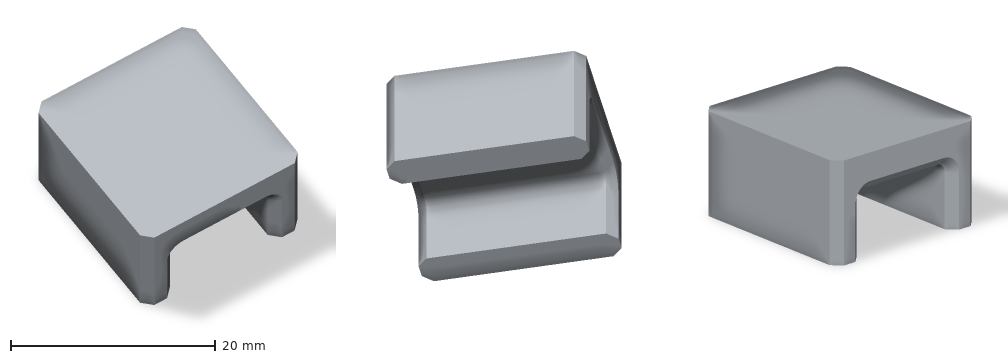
import cadquery as cq

length = 20.0
width = 18.5
height = 11.0
corner_chamfer = 1.0

leg_thickness = 3.5
roof_thickness = 4.0
channel_radius = 1.0
mouth_chamfer = 1.0
channel_width = width - 2 * leg_thickness
channel_height = height - roof_thickness


def make_block():
    """Block standing on Z = 0 with chamfered vertical corners."""
    block = cq.Workplane("XY").box(length, width, height, centered=(True, True, False))
    return block.edges("|Z").chamfer(corner_chamfer)


def cut_channel(block):
    """Cut the channel with its two rounded upper corners."""
    channel = cq.Workplane("XY").box(
        length, channel_width, channel_height, centered=(True, True, False)
    )
    return block.cut(channel.edges("|X and >Z").fillet(channel_radius))


def chamfer_mouths(body):
    """Chamfer the channel outline where it opens at both ends."""
    margin = 0.2
    half_length = length / 2 + margin
    half_width = channel_width / 2 + margin
    mouth_edges = cq.selectors.BoxSelector(
        (-half_length, -half_width, margin),
        (half_length, half_width, channel_height + margin),
    )
    return body.faces("<X or >X").edges(mouth_edges).chamfer(mouth_chamfer)


result = chamfer_mouths(cut_channel(make_block()))